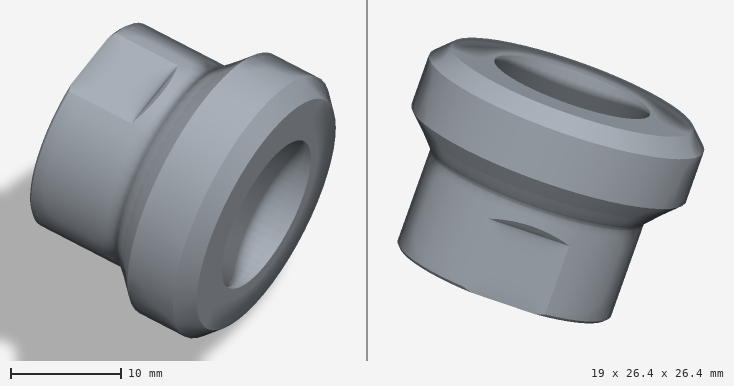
import cadquery as cq

length = 19.0
flange_diameter = 26.4
neck_diameter = 20.5
bore_diameter = 14.95

neck_chamfer = 0.3
neck_length = 9.45
neck_fillet = 0.48

cone_break = 11.0
flange_start = 12.57
flange_chamfer = 1.55

mouth_diameter = 17.2
across_flats = 18.98
flat_length = 7.0

flange_radius = flange_diameter / 2
neck_radius = neck_diameter / 2
bore_radius = bore_diameter / 2
mouth_radius = mouth_diameter / 2
mouth_depth = mouth_radius - bore_radius
break_radius = flange_radius - (flange_start - cone_break)


def turned_body():
    """Revolve the half section, including the bore, about X."""
    section = [
        (0, mouth_radius),
        (0, neck_radius - neck_chamfer),
        (neck_chamfer, neck_radius),
        (neck_length, neck_radius),
        (cone_break, break_radius),
        (flange_start, flange_radius),
        (length - flange_chamfer, flange_radius),
        (length, flange_radius - flange_chamfer),
        (length, bore_radius),
        (mouth_depth, bore_radius),
    ]
    body = cq.Workplane("XY").polyline(section).close().revolve(360, (0, 0, 0), (1, 0, 0))
    corner_zone = cq.selectors.BoxSelector(
        (neck_length - neck_fillet, -flange_radius, -flange_radius),
        (neck_length + neck_fillet, flange_radius, flange_radius),
        boundingbox=True,
    )
    return body.edges(corner_zone).fillet(neck_fillet)


def flat_cutter(side):
    """Material above (side = 1) or below (side = -1) a flat, with a 45 degree run-out."""
    flat_height = across_flats / 2
    cut_depth = neck_radius - flat_height
    outline = [
        (0, side * flat_height),
        (flat_length, side * flat_height),
        (flat_length + cut_depth, side * neck_radius),
        (0, side * neck_radius),
    ]
    return cq.Workplane("XZ").polyline(outline).close().extrude(neck_radius, both=True)


result = turned_body()
for side in (1, -1):
    result = result.cut(flat_cutter(side))